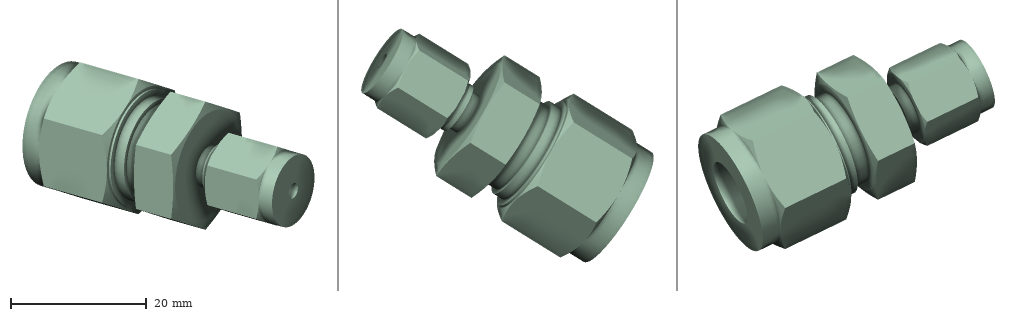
import cadquery as cq
import math


LARGE_ACROSS_FLATS = 19.0
LARGE_HEX_START = 2.95
LARGE_HEX_END = 15.05
LARGE_LIP_DIAMETER = 18.0
LARGE_LIP_END = 15.4

LARGE_COLLAR_DIAMETER = 15.95
LARGE_COLLAR_END = 17.05
LARGE_NECK_DIAMETER = 14.45
BODY_ACROSS_FLATS = 18.0
BODY_HEX_START = 19.45
BODY_HEX_END = 26.63
BODY_FACE_DIAMETER = 17.3
SMALL_NECK_DIAMETER = 6.4
SMALL_NECK_END = 28.25
SMALL_COLLAR_DIAMETER = 7.85

SMALL_ACROSS_FLATS = 11.1
SMALL_HEX_START = 29.9
SMALL_HEX_END = 39.45
SMALL_INNER_FACE_DIAMETER = 11.45
FITTING_LENGTH = 41.8

TUBE_BORE_DIAMETER = 10.0
TUBE_BORE_DEPTH = LARGE_COLLAR_END
THROUGH_BORE_DIAMETER = 2.4

NUT_CHAMFER_ANGLE = 30.0
BODY_CHAMFER_ANGLE = 15.0


def cylinder(diameter, start, end):
    """Solid cylinder on the X axis between two positions."""
    plane = cq.Workplane("YZ", origin=(start, 0, 0))
    return plane.circle(diameter / 2).extrude(end - start)


def chamfered_hexagon(across_flats, start, end, start_face, end_face, chamfer_angle):
    """Hexagon with corners on +Z and -Z, its ends turned down to two face diameters."""
    across_corners = across_flats / math.cos(math.radians(30))
    prism = (
        cq.Workplane("YZ", origin=(start, 0, 0))
        .transformed(rotate=(0, 0, 90))
        .polygon(6, across_corners)
        .extrude(end - start)
    )

    slope = math.tan(math.radians(chamfer_angle))
    corner_radius = across_corners / 2
    start_chamfer = (corner_radius - start_face / 2) * slope
    end_chamfer = (corner_radius - end_face / 2) * slope
    turned_envelope = (
        cq.Workplane("XY")
        .moveTo(start, 0)
        .lineTo(start, start_face / 2)
        .lineTo(start + start_chamfer, corner_radius)
        .lineTo(end - end_chamfer, corner_radius)
        .lineTo(end, end_face / 2)
        .lineTo(end, 0)
        .close()
        .revolve(360, (0, 0, 0), (1, 0, 0))
    )
    return prism.intersect(turned_envelope)


def large_nut():
    hexagon = chamfered_hexagon(
        LARGE_ACROSS_FLATS, LARGE_HEX_START, LARGE_HEX_END,
        LARGE_ACROSS_FLATS, LARGE_ACROSS_FLATS, NUT_CHAMFER_ANGLE,
    )
    sleeve = cylinder(LARGE_ACROSS_FLATS, 0, LARGE_HEX_START)
    lip = cylinder(LARGE_LIP_DIAMETER, LARGE_HEX_END, LARGE_LIP_END)
    return sleeve.union(hexagon).union(lip)


def fitting_body():
    hexagon = chamfered_hexagon(
        BODY_ACROSS_FLATS, BODY_HEX_START, BODY_HEX_END,
        BODY_FACE_DIAMETER, BODY_FACE_DIAMETER, BODY_CHAMFER_ANGLE,
    )
    large_collar = cylinder(LARGE_COLLAR_DIAMETER, LARGE_LIP_END, LARGE_COLLAR_END)
    large_neck = cylinder(LARGE_NECK_DIAMETER, LARGE_COLLAR_END, BODY_HEX_START)
    small_neck = cylinder(SMALL_NECK_DIAMETER, BODY_HEX_END, SMALL_NECK_END)
    small_collar = cylinder(SMALL_COLLAR_DIAMETER, SMALL_NECK_END, SMALL_HEX_START)
    return large_collar.union(large_neck).union(hexagon).union(small_neck).union(small_collar)


def small_nut():
    hexagon = chamfered_hexagon(
        SMALL_ACROSS_FLATS, SMALL_HEX_START, SMALL_HEX_END,
        SMALL_INNER_FACE_DIAMETER, SMALL_ACROSS_FLATS, NUT_CHAMFER_ANGLE,
    )
    sleeve = cylinder(SMALL_ACROSS_FLATS, SMALL_HEX_END, FITTING_LENGTH)
    return hexagon.union(sleeve)


tube_bore = cylinder(TUBE_BORE_DIAMETER, 0, TUBE_BORE_DEPTH)
through_bore = cylinder(THROUGH_BORE_DIAMETER, 0, FITTING_LENGTH)

fitting = large_nut().union(fitting_body()).union(small_nut())
result = fitting.cut(tube_bore).cut(through_bore)